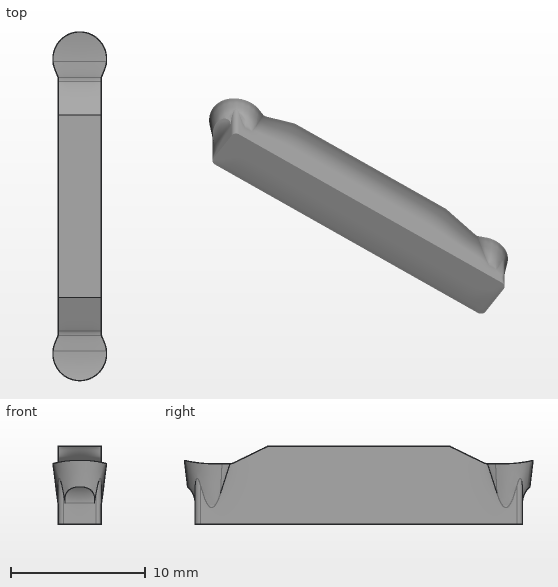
import cadquery as cq
import math


shank_width = 3.2
shank_half_length = 12.14
shank_height = 5.79
corner_radius = 0.4

nose_radius = 2.0
nose_center_y = 10.9
relief_angle = math.radians(7)
neck_angle = math.radians(22.5)

crest_half_length = 6.75
ramp_angle = math.radians(26)
ramp_fillet = 0.7
land_height = 4.5
land_end_y = 10.72
rake_radius = 10.0

undercut_start_height = 1.6
undercut_radius = 1.55

clear_width = 2 * shank_width
clear_y = shank_half_length + nose_radius


def rake_height(y):
    """Height of the concave rake arc, tangent to the flat land at its outer end."""
    return land_height + rake_radius - math.sqrt(rake_radius**2 - (y - land_end_y) ** 2)


def make_shank():
    """Straight bar with rounded vertical corners at its end."""
    shank = cq.Workplane("XY").box(
        shank_width, shank_half_length, shank_height, centered=(True, False, False)
    )
    return shank.edges("|Z and >Y").fillet(corner_radius)


def head_section(height):
    """Nose arc with two tangent neck flanks, inset by the relief angle below the land."""
    radius = nose_radius + (height - land_height) * math.tan(relief_angle)
    tangent_x = radius * math.cos(neck_angle)
    tangent_y = nose_center_y - radius * math.sin(neck_angle)
    apex_y = nose_center_y - radius / math.sin(neck_angle)
    return (
        cq.Workplane("XY", origin=(0, 0, height))
        .moveTo(0, apex_y)
        .lineTo(tangent_x, tangent_y)
        .threePointArc((0, nose_center_y + radius), (-tangent_x, tangent_y))
        .close()
        .wires()
        .val()
    )


def make_head():
    """Tapered head, from the base plane to the crest height."""
    sections = [head_section(0), head_section(shank_height)]
    head = cq.Workplane(cq.Solid.makeLoft(sections, True))
    return head.intersect(underside_envelope())


def underside_envelope():
    """Everything above and inboard of the quarter-round concave underside."""
    arc_end_y = shank_half_length + undercut_radius
    arc_end_height = undercut_start_height + undercut_radius
    return (
        cq.Workplane("YZ")
        .moveTo(0, 0)
        .lineTo(shank_half_length, 0)
        .lineTo(shank_half_length, undercut_start_height)
        .tangentArcPoint((arc_end_y, arc_end_height), relative=False)
        .lineTo(clear_y, arc_end_height)
        .lineTo(clear_y, shank_height)
        .lineTo(0, shank_height)
        .close()
        .extrude(clear_width / 2, both=True)
    )


def top_envelope():
    """Everything below the crest, ramp, land and concave rake."""
    ramp_run = (shank_height - land_height) / math.tan(ramp_angle)
    ramp_foot_y = crest_half_length + ramp_run
    fillet_setback = ramp_fillet * math.tan(ramp_angle / 2)
    fillet_top = (
        ramp_foot_y - fillet_setback * math.cos(ramp_angle),
        land_height + fillet_setback * math.sin(ramp_angle),
    )
    rake_middle_y = (land_end_y + clear_y) / 2
    return (
        cq.Workplane("YZ")
        .moveTo(0, 0)
        .lineTo(0, shank_height)
        .lineTo(crest_half_length, shank_height)
        .lineTo(*fillet_top)
        .tangentArcPoint((ramp_foot_y + fillet_setback, land_height), relative=False)
        .lineTo(land_end_y, land_height)
        .threePointArc((rake_middle_y, rake_height(rake_middle_y)), (clear_y, rake_height(clear_y)))
        .lineTo(clear_y, 0)
        .close()
        .extrude(clear_width / 2, both=True)
    )


half = make_shank().union(make_head()).intersect(top_envelope())
result = half.union(half.mirror("XZ")).clean()